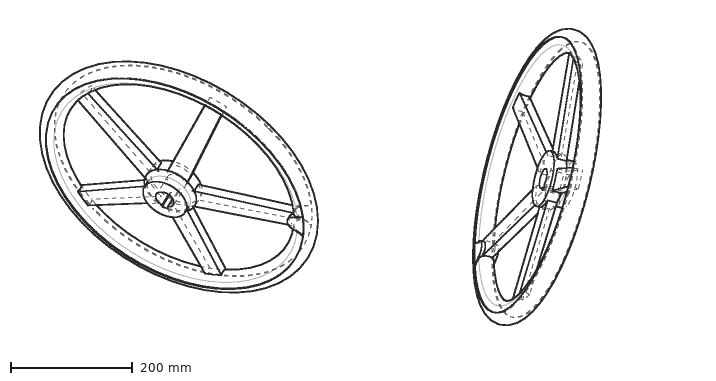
import cadquery as cq
import math


wheel_radius = 250.0
grip_radius = 17.0
grip_center_radius = wheel_radius - grip_radius
rim_mid_y = -grip_radius
rim_inner_radius = 209.5
web_edge_radius = 220.5
web_outer_half_width = 15.0
web_inner_half_width = 13.5

overall_depth = 72.0
hub_radius = 79.0 / 2
hub_nose_length = 14.0
hub_flare = 7.5
barrel_radius = hub_radius + hub_flare
hub_back_y = -28.0
flare_start_y = -overall_depth + hub_nose_length
barrel_front_y = flare_start_y + hub_flare
bore_radius = 16.5
keyway_width = 10.0
keyway_reach = 20.0

spoke_count = 5
spoke_start_radius = 30.0
spoke_end_radius = 217.5
spoke_hub_width = 38.0
spoke_rim_width = 31.0
spoke_thickness = 16.5
spoke_slope = 0.16
spoke_setback = 0.5

boss_center_radius = 218.0
boss_radius = 15.5
boss_flare_start = (220.0, 17.5)
boss_flare_middle = (227.0, 20.5)
boss_flare_end = (232.0, 27.0)
boss_front_y = rim_mid_y - web_outer_half_width
boss_depth = 2 * web_outer_half_width


def make_rim():
    """Round grip with a slightly narrower web on its inner side."""
    outer = web_outer_half_width
    inner = web_inner_half_width
    section = (
        cq.Workplane("XY")
        .moveTo(grip_center_radius, rim_mid_y - grip_radius)
        .threePointArc((wheel_radius, rim_mid_y), (grip_center_radius, rim_mid_y + grip_radius))
        .lineTo(grip_center_radius, rim_mid_y + outer)
        .lineTo(web_edge_radius, rim_mid_y + inner)
        .threePointArc((rim_inner_radius, rim_mid_y), (web_edge_radius, rim_mid_y - inner))
        .lineTo(grip_center_radius, rim_mid_y - outer)
        .close()
    )
    return section.revolve(360, (0, 0, 0), (0, 1, 0))


def make_hub():
    """Barrel with a concave flare down to the front nose."""
    arc_offset = hub_flare * (1 - math.sqrt(0.5))
    section = (
        cq.Workplane("XY")
        .moveTo(0, -overall_depth)
        .lineTo(hub_radius, -overall_depth)
        .lineTo(hub_radius, flare_start_y)
        .threePointArc(
            (hub_radius + arc_offset, barrel_front_y - arc_offset),
            (barrel_radius, barrel_front_y),
        )
        .lineTo(barrel_radius, hub_back_y)
        .lineTo(0, hub_back_y)
        .close()
    )
    return section.revolve(360, (0, 0, 0), (0, 1, 0))


def make_spoke():
    """Sloping bar along +X that narrows towards the rim."""
    start_y = barrel_front_y + spoke_setback + spoke_slope * (spoke_start_radius - barrel_radius)
    end_y = barrel_front_y + spoke_setback + spoke_slope * (spoke_end_radius - barrel_radius)
    side = (
        cq.Workplane("XY")
        .moveTo(spoke_start_radius, start_y)
        .lineTo(spoke_end_radius, end_y)
        .lineTo(spoke_end_radius, end_y + spoke_thickness)
        .lineTo(spoke_start_radius, start_y + spoke_thickness)
        .close()
        .extrude(spoke_hub_width, both=True)
    )
    face = (
        cq.Workplane("XZ")
        .moveTo(spoke_start_radius, -spoke_hub_width / 2)
        .lineTo(spoke_end_radius, -spoke_rim_width / 2)
        .lineTo(spoke_end_radius, spoke_rim_width / 2)
        .lineTo(spoke_start_radius, spoke_hub_width / 2)
        .close()
        .extrude(overall_depth)
    )
    return side.intersect(face)


def make_handle_boss():
    """Round-ended pad that flares into the rim."""
    flare_x, flare_z = boss_flare_start
    middle_x, middle_z = boss_flare_middle
    end_x, end_z = boss_flare_end
    return (
        cq.Workplane("XZ", origin=(0, boss_front_y, 0))
        .moveTo(boss_center_radius, boss_radius)
        .lineTo(flare_x, flare_z)
        .threePointArc((middle_x, middle_z), (end_x, end_z))
        .lineTo(grip_center_radius, end_z)
        .lineTo(grip_center_radius, -end_z)
        .lineTo(end_x, -end_z)
        .threePointArc((middle_x, -middle_z), (flare_x, -flare_z))
        .lineTo(boss_center_radius, -boss_radius)
        .threePointArc((boss_center_radius - boss_radius, 0), (boss_center_radius, boss_radius))
        .close()
        .extrude(-boss_depth)
    )


def make_bore():
    """Through bore with a keyway on its -Z side."""
    bore = cq.Workplane("XZ").circle(bore_radius).extrude(overall_depth)
    keyway = (
        cq.Workplane("XZ")
        .center(0, -keyway_reach / 2)
        .rect(keyway_width, keyway_reach)
        .extrude(overall_depth)
    )
    return bore.union(keyway)


wheel = make_rim().union(make_hub())
spoke = make_spoke()
for index in range(spoke_count):
    angle = index * 360 / spoke_count
    wheel = wheel.union(spoke.rotate((0, 0, 0), (0, 1, 0), angle))
result = wheel.union(make_handle_boss()).cut(make_bore())